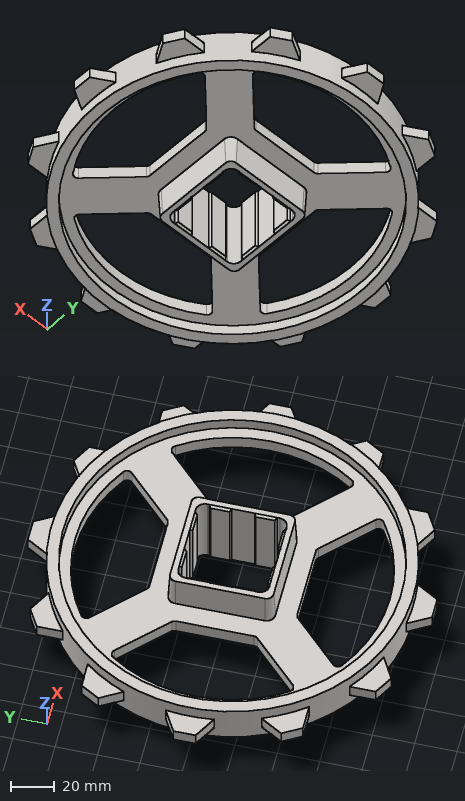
import cadquery as cq
import math

rim_outer_radius = 85.4
rim_inner_radius = 79.7
rim_height = 20.0

web_thickness = 7.6
window_outer_radius = 74.1
window_inner_offset = 34.9
spoke_width = 22.0
window_corner_radius = 2.5

tooth_count = 12
tooth_tip_radius = 95.3
tooth_tip_width = 10.5
tooth_flank_angle = 30.0
tooth_height = 6.7
tooth_root_radius = (rim_outer_radius + rim_inner_radius) / 2

hub_height = 40.0
hub_end_width = 48.8
hub_draft_angle = 3.0
hub_corner_radius = 4.4

bore_width = 42.9
bore_corner_radius = 4.4
shaft_width = 40.5
pad_offset = 10.7
pad_base_width = 10.7
pad_crest_width = 9.0
pad_embed = 1.0
pad_end_length = 1.0
side_count = 4


def disc(radius, height):
    """Solid disc centred on the origin."""
    return cq.Workplane("XY").circle(radius).extrude(height / 2, both=True)


def make_window():
    """Cutter for the +Y window, bounded by two spokes, the hub plate and the rim."""
    side_shift = spoke_width / math.sqrt(2)
    inner_x = window_inner_offset - side_shift
    half_spoke = spoke_width / 2
    along_spoke = math.sqrt(window_outer_radius**2 - half_spoke**2)
    outer_x = (along_spoke - half_spoke) / math.sqrt(2)
    outer_y = (along_spoke + half_spoke) / math.sqrt(2)
    return (
        cq.Workplane("XY")
        .moveTo(-inner_x, window_inner_offset)
        .lineTo(inner_x, window_inner_offset)
        .lineTo(outer_x, outer_y)
        .threePointArc((0, window_outer_radius), (-outer_x, outer_y))
        .close()
        .extrude(web_thickness / 2, both=True)
        .edges("|Z")
        .fillet(window_corner_radius)
    )


def make_wheel():
    """Flat web plate with four windows inside a taller rim."""
    rim = disc(rim_outer_radius, rim_height).cut(disc(rim_inner_radius, rim_height))
    web = disc(rim_inner_radius, web_thickness)
    window = make_window()
    for side in range(side_count):
        web = web.cut(window.rotate((0, 0, 0), (0, 0, 1), side * 360 / side_count))
    return rim.union(web)


def make_tooth():
    """Tapered tooth pointing along +X, rooted inside the rim."""
    tip_half = tooth_tip_width / 2
    flank_spread = (tooth_tip_radius - tooth_root_radius) * math.tan(math.radians(tooth_flank_angle))
    root_half = tip_half + flank_spread
    return (
        cq.Workplane("XY")
        .polyline(
            [
                (tooth_root_radius, -root_half),
                (tooth_tip_radius, -tip_half),
                (tooth_tip_radius, tip_half),
                (tooth_root_radius, root_half),
            ]
        )
        .close()
        .extrude(tooth_height / 2, both=True)
    )


def make_hub():
    """Square hub, drafted from its middle plane towards both ends."""
    half_height = hub_height / 2
    middle_width = hub_end_width + 2 * half_height * math.tan(math.radians(hub_draft_angle))
    profile = cq.Sketch().rect(middle_width, middle_width).vertices().fillet(hub_corner_radius)
    upper = cq.Workplane("XY").placeSketch(profile).extrude(half_height, taper=hub_draft_angle)
    return upper.union(upper.mirror("XY"))


def make_bore():
    """Square through bore with rounded corners."""
    return (
        cq.Workplane("XY")
        .rect(bore_width, bore_width)
        .extrude(hub_height / 2, both=True)
        .edges("|Z")
        .fillet(bore_corner_radius)
    )


def make_pad_pair():
    """Two grip pads on the +Y wall of the bore, with bevelled sides and ends."""
    wall_y = bore_width / 2
    crest_y = shaft_width / 2
    root_y = wall_y + pad_embed
    base_half = pad_base_width / 2
    crest_half = pad_crest_width / 2
    end_z = hub_height / 2
    crest_z = end_z - pad_end_length
    plan = (
        cq.Workplane("XY")
        .polyline(
            [
                (-base_half, root_y),
                (-base_half, wall_y),
                (-crest_half, crest_y),
                (crest_half, crest_y),
                (base_half, wall_y),
                (base_half, root_y),
            ]
        )
        .close()
        .extrude(end_z, both=True)
    )
    side_profile = (
        cq.Workplane("YZ")
        .polyline(
            [
                (root_y, -end_z),
                (wall_y, -end_z),
                (crest_y, -crest_z),
                (crest_y, crest_z),
                (wall_y, end_z),
                (root_y, end_z),
            ]
        )
        .close()
        .extrude(base_half, both=True)
    )
    pad = plan.intersect(side_profile)
    return pad.translate((-pad_offset, 0, 0)).union(pad.translate((pad_offset, 0, 0)))


result = make_wheel()

tooth = make_tooth()
for index in range(tooth_count):
    result = result.union(tooth.rotate((0, 0, 0), (0, 0, 1), index * 360 / tooth_count))

result = result.union(make_hub()).cut(make_bore())

pad_pair = make_pad_pair()
for side in range(side_count):
    result = result.union(pad_pair.rotate((0, 0, 0), (0, 0, 1), side * 360 / side_count))